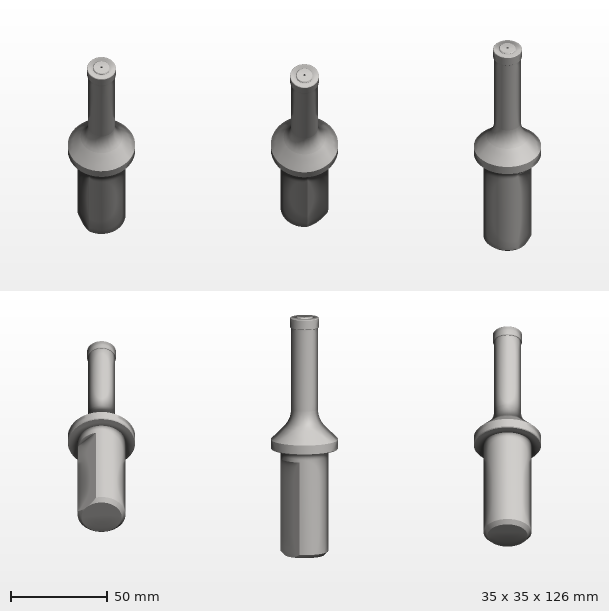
import cadquery as cq
import math

total_height = 126.0
flange_bottom = 56.0
flange_height = 5.0
flange_top = flange_bottom + flange_height

drive_radius = 25.0 / 2
drive_chamfer = 2.0
flat_distance = 10.5
flat_gap = 5.0

flange_radius = 35.0 / 2
flange_chamfer = 0.4
neck_radius = 14.0 / 2
blend_radius = 13.0
shoulder_angle = math.radians(45)

cap_radius = 15.0 / 2
cap_height = 5.3
cap_edge_chamfer = 0.3
boss_radius = 4.5
boss_height = 0.6
boss_edge_chamfer = 0.5
center_hole_radius = 0.6
center_hole_depth = 1.3

cap_top = total_height - boss_height
cap_bottom = cap_top - cap_height


def make_holder():
    """Turned holder with one clamping flat on the -Y side of its drive shank."""
    def blend_point(angle):
        """Radius and height on the blend, where angle 0 is its top end on the neck."""
        radius = neck_radius + blend_radius * (1 - math.cos(angle))
        height = blend_center_height - blend_radius * math.sin(angle)
        return radius, height

    cone_top_radius = neck_radius + blend_radius * (1 - math.cos(shoulder_angle))
    cone_top = flange_top + (flange_radius - cone_top_radius) / math.tan(shoulder_angle)
    blend_center_height = cone_top + blend_radius * math.sin(shoulder_angle)

    holder = (
        cq.Workplane("XZ")
        .lineTo(drive_radius - drive_chamfer, 0)
        .lineTo(drive_radius, drive_chamfer)
        .lineTo(drive_radius, flange_bottom)
        .lineTo(flange_radius - flange_chamfer, flange_bottom)
        .lineTo(flange_radius, flange_bottom + flange_chamfer)
        .lineTo(flange_radius, flange_top)
        .lineTo(cone_top_radius, cone_top)
        .threePointArc(blend_point(shoulder_angle / 2), blend_point(0))
        .lineTo(neck_radius, cap_bottom)
        .lineTo(0, cap_bottom)
        .close()
        .revolve(360, (0, 0), (0, 1))
    )
    flat_cutter = cq.Workplane("XY").box(
        2 * drive_radius, drive_radius, flange_bottom - flat_gap, centered=(True, False, False)
    ).translate((0, -flat_distance - drive_radius, 0))
    return holder.cut(flat_cutter)


def make_cap():
    """Disc with a low chamfered boss and a small center hole in its top."""
    disc = (
        cq.Workplane("XY", origin=(0, 0, cap_bottom))
        .circle(cap_radius)
        .extrude(cap_height)
        .faces("<Z or >Z")
        .chamfer(cap_edge_chamfer)
    )
    boss = (
        cq.Workplane("XY", origin=(0, 0, cap_top))
        .circle(boss_radius)
        .extrude(boss_height)
        .faces(">Z")
        .chamfer(boss_edge_chamfer)
    )
    center_hole = (
        cq.Workplane("XY", origin=(0, 0, total_height))
        .circle(center_hole_radius)
        .extrude(-center_hole_depth)
    )
    return disc.union(boss).cut(center_hole)


holder = make_holder()
cap = make_cap()
result = cq.Compound.makeCompound([holder.val(), cap.val()])